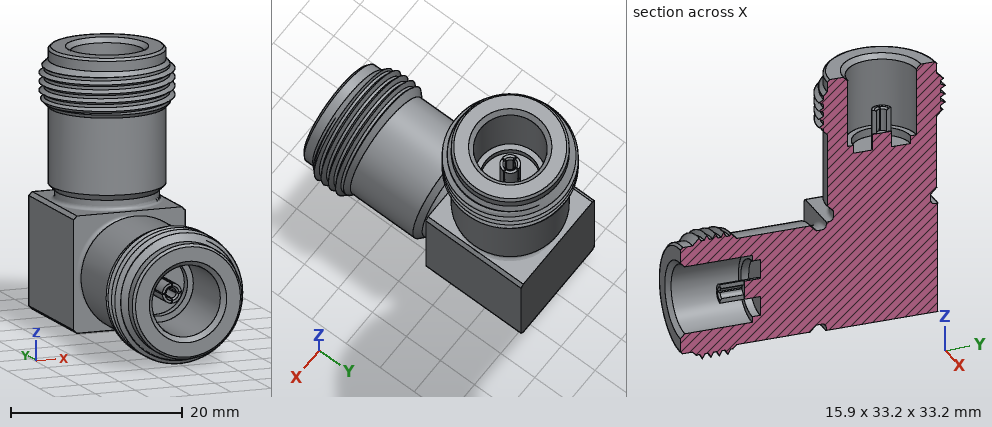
import cadquery as cq
import math


overall_size = 33.2

block_size = 14.0
block_chamfer = 0.43
block_half = block_size / 2

thread_radius = 7.95
jack_end = overall_size - thread_radius
barrel_radius = 6.87
rim_chamfer = 0.3
neck_radius = 6.1
neck_fillet = 0.5
shoulder_end = 9.0
shoulder_start = shoulder_end - (barrel_radius - neck_radius)

thread_pitch = 1.05
thread_depth = 0.6
ridge_half_angle = math.radians(30)
core_radius = thread_radius - thread_depth
thread_bottom = 18.2
thread_top = 23.75
thread_turns = 6
thread_start_angle = 120
ridge_overlap = 0.1
envelope_margin = 0.2

bore_radius = 4.3
bore_chamfer = 0.55
bore_depth = 9.0
floor_step_radius = 3.55
floor_step_depth = 1.0

contact_radius = 1.2
contact_tip_depth = 5.0
contact_hole_radius = 0.63
contact_hole_chamfer = 0.23
contact_hole_depth = 3.0
contact_slot_width = 0.15


def cylinder(radius, bottom, top):
    return cq.Workplane("XY").workplane(offset=bottom).circle(radius).extrude(top - bottom)


def run_out_envelope():
    """Collar that flares from the barrel at 45 degrees and clears the thread crest."""
    radius = thread_radius + envelope_margin
    rise = radius - barrel_radius
    return (
        cq.Workplane("XZ")
        .moveTo(0, thread_bottom)
        .lineTo(barrel_radius, thread_bottom)
        .lineTo(radius, thread_bottom + rise)
        .lineTo(radius, thread_top - rise)
        .lineTo(barrel_radius, thread_top)
        .lineTo(0, thread_top)
        .close()
        .revolve(360, (0, 0, 0), (0, 1, 0))
    )


def threaded_collar():
    """Core with a right-hand helical ridge, trimmed by the thread's run-out cones."""
    helix_height = thread_turns * thread_pitch
    helix = cq.Workplane(cq.Wire.makeHelix(thread_pitch, helix_height, core_radius))
    root_radius = core_radius - ridge_overlap
    root_half_width = (thread_radius - root_radius) * math.tan(ridge_half_angle)
    ridge = (
        cq.Workplane("XZ")
        .polyline([
            (root_radius, -root_half_width),
            (thread_radius, 0),
            (root_radius, root_half_width),
        ])
        .close()
        .sweep(helix, isFrenet=True)
    )
    helix_start = (thread_bottom + thread_top - helix_height) / 2
    ridge = ridge.rotate((0, 0, 0), (0, 0, 1), thread_start_angle).translate((0, 0, helix_start))
    core = cylinder(core_radius, thread_bottom, thread_top)
    return core.union(ridge).intersect(run_out_envelope())


def jack_body():
    """Neck with a filleted foot, conical shoulder and barrel with a chamfered rim."""
    fillet_middle = neck_fillet * (1 - math.cos(math.radians(45)))
    return (
        cq.Workplane("XZ")
        .moveTo(0, block_half)
        .lineTo(neck_radius + neck_fillet, block_half)
        .threePointArc(
            (neck_radius + fillet_middle, block_half + fillet_middle),
            (neck_radius, block_half + neck_fillet),
        )
        .lineTo(neck_radius, shoulder_start)
        .lineTo(barrel_radius, shoulder_end)
        .lineTo(barrel_radius, jack_end - rim_chamfer)
        .lineTo(barrel_radius - rim_chamfer, jack_end)
        .lineTo(0, jack_end)
        .close()
        .revolve(360, (0, 0, 0), (0, 1, 0))
    )


def bore():
    """Material removed inside a jack: chamfered mouth, bore and floor step."""
    floor = jack_end - bore_depth
    mouth_radius = bore_radius + bore_chamfer
    return (
        cq.Workplane("XZ")
        .moveTo(0, floor - floor_step_depth)
        .lineTo(floor_step_radius, floor - floor_step_depth)
        .lineTo(floor_step_radius, floor)
        .lineTo(bore_radius, floor)
        .lineTo(bore_radius, jack_end - bore_chamfer)
        .lineTo(mouth_radius, jack_end)
        .lineTo(0, jack_end)
        .close()
        .revolve(360, (0, 0, 0), (0, 1, 0))
    )


def contact():
    """Socket contact with a countersunk hole and two crossed slots."""
    foot = jack_end - bore_depth - floor_step_depth
    tip = jack_end - contact_tip_depth
    hole_floor = tip - contact_hole_depth
    pin = cylinder(contact_radius, foot, tip)
    pin = pin.cut(cylinder(contact_hole_radius, hole_floor, tip))
    hole_rim = cq.selectors.RadiusNthSelector(0)
    pin = pin.faces(">Z").edges(hole_rim).chamfer(contact_hole_chamfer)
    slot = (
        cq.Workplane("XY")
        .workplane(offset=hole_floor)
        .rect(2 * contact_radius, contact_slot_width)
        .extrude(contact_hole_depth)
    )
    for angle in (0, 90):
        pin = pin.cut(slot.rotate((0, 0, 0), (0, 0, 1), angle))
    return pin


block = cq.Workplane("XY").box(block_size, block_size, block_size)
block = block.edges("|Y").chamfer(block_chamfer)

jack_outside = jack_body().union(threaded_collar())
upright_jack = jack_outside.cut(bore()).union(contact())
forward_jack = upright_jack.rotate((0, 0, 0), (1, 0, 0), 90)

result = block.union(upright_jack).union(forward_jack)